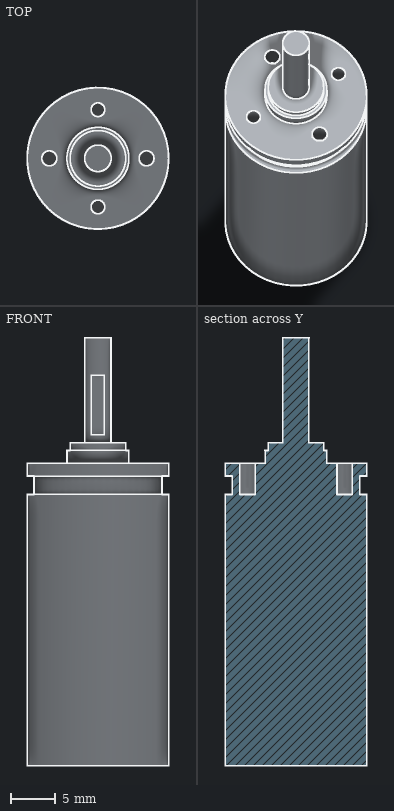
import cadquery as cq

total_length = 48.3
body_diameter = 16.0

shaft_diameter = 3.0
shaft_length = 11.85
collar_diameter = 6.3
collar_height = 0.85
boss_diameter = 7.0
boss_height = 1.45
flange_height = 1.45
neck_diameter = 14.5
neck_height = 2.1

flat_length = 6.7
flat_tip_distance = 4.25
flat_axis_distance = 1.3

hole_circle_diameter = 10.95
x_hole_diameter = 1.7
y_hole_diameter = 1.55
hole_depth = flange_height + neck_height

front_end_length = shaft_length + collar_height + boss_height + flange_height + neck_height
body_length = total_length - front_end_length
flange_top = body_length + neck_height + flange_height


def stack_cylinders(sections):
    """Stack coaxial (diameter, height) cylinders upward from Z = 0."""
    stack = cq.Workplane("XY")
    base = 0.0
    for diameter, height in sections:
        section = cq.Workplane("XY").workplane(offset=base).circle(diameter / 2).extrude(height)
        stack = stack.union(section)
        base += height
    return stack


def shaft_flat_cutter():
    """Block that removes the shaft material beyond the flat."""
    depth = shaft_diameter / 2 - flat_axis_distance
    top = total_length - flat_tip_distance
    return (
        cq.Workplane("XY")
        .box(shaft_diameter, depth, flat_length, centered=(True, False, False))
        .translate((0, -shaft_diameter / 2, top - flat_length))
    )


def drill_mounting_holes(part, positions, diameter):
    """Cut blind holes downward from the flange face."""
    drills = (
        cq.Workplane("XY")
        .workplane(offset=flange_top)
        .pushPoints(positions)
        .circle(diameter / 2)
        .extrude(-hole_depth)
    )
    return part.cut(drills)


motor = stack_cylinders([
    (body_diameter, body_length),
    (neck_diameter, neck_height),
    (body_diameter, flange_height),
    (boss_diameter, boss_height),
    (collar_diameter, collar_height),
    (shaft_diameter, shaft_length),
])
motor = motor.cut(shaft_flat_cutter())

hole_radius = hole_circle_diameter / 2
motor = drill_mounting_holes(motor, [(hole_radius, 0), (-hole_radius, 0)], x_hole_diameter)
motor = drill_mounting_holes(motor, [(0, hole_radius), (0, -hole_radius)], y_hole_diameter)

result = motor